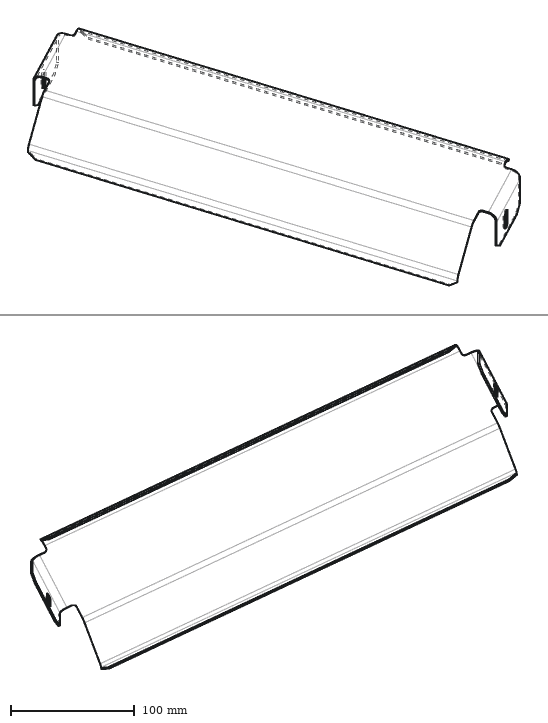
import cadquery as cq
import math

length = 404.0
width = 112.0
height = 45.0

thickness = 1.5
bend_radius = 7.5
slope_angle = 45.0

body_inset = 15.0
rear_flange_height = 12.5
slope_start = 36.0

tab_width = 50.0
tab_rear_inset = 13.5
notch_radius = 3.0
corner_chamfer = 7.0

slot_width = 7.0
slot_length = 19.8
slot_depth = 26.5
slot_offset = 5.0

body_length = length - 2 * body_inset
tab_center = width / 2 - tab_rear_inset - tab_width / 2
slope = math.radians(slope_angle)
bend_run = bend_radius * math.sin(slope)
bend_drop = bend_radius * (1 - math.cos(slope))
slope_run = slope_start - bend_run - bend_drop
slope_length = slope_run / math.cos(slope)
slope_drop = slope_run * math.tan(slope)
front_flange_length = height - bend_drop - slope_drop - bend_run


def bent_strip(plane, start, heading, flats, turns):
    """Sketch a strip on its outer side, bending clockwise by each turn between the flats."""
    outer, inner = [], []
    x, y = start
    angle = math.radians(heading)

    def record(at_x, at_y, at_angle):
        outer.append((at_x, at_y))
        inner.append((at_x + thickness * math.sin(at_angle), at_y - thickness * math.cos(at_angle)))

    record(x, y, angle)
    for flat, turn in zip(flats, turns + [0]):
        x += flat * math.cos(angle)
        y += flat * math.sin(angle)
        record(x, y, angle)
        if turn:
            center_x = x + bend_radius * math.sin(angle)
            center_y = y - bend_radius * math.cos(angle)
            for _ in range(2):
                angle -= math.radians(turn / 2)
                x = center_x - bend_radius * math.sin(angle)
                y = center_y + bend_radius * math.cos(angle)
                record(x, y, angle)

    def trace(sketch, points):
        sketch = sketch.lineTo(*points[1])
        for i in range(2, len(points), 3):
            sketch = sketch.threePointArc(points[i], points[i + 1]).lineTo(*points[i + 2])
        return sketch

    sketch = trace(cq.Workplane(plane).moveTo(*outer[0]), outer)
    return trace(sketch.lineTo(*inner[-1]), inner[::-1]).close()


def make_body():
    flats = [
        rear_flange_height - bend_radius,
        width - bend_radius - slope_start,
        slope_length,
        front_flange_length,
    ]
    plane = cq.Plane((0, 0, 0), xDir=(0, -1, 0), normal=(-1, 0, 0))
    start = (-width / 2, height - rear_flange_height)
    profile = bent_strip(plane, start, 90, flats, [90, slope_angle, 90 - slope_angle])
    return profile.extrude(body_length / 2, both=True)


def chamfer_body_corners(body):
    """Chamfer the free lower corners of the front and rear flanges."""
    bottoms = ((-width / 2, 0), (width / 2, height - rear_flange_height))
    for face_y, bottom in bottoms:
        zone = (
            cq.Workplane("XY")
            .box(body_length, 2 * bend_radius, height, centered=(True, True, False))
            .translate((0, face_y, bottom))
        )
        chamfered = zone.edges("|Y and <Z").chamfer(corner_chamfer)
        body = body.cut(zone.cut(chamfered))
    return body


def make_tabs():
    """Make the strip that crosses the body and folds down at both ends."""
    flats = [height - bend_radius, length - 2 * bend_radius, height - bend_radius]
    strip = bent_strip("XZ", (-length / 2, 0), 90, flats, [90, 90])
    strip = strip.extrude(tab_width / 2, both=True)
    outline = (
        cq.Workplane("YZ")
        .rect(tab_width, 2 * height)
        .extrude(length, both=True)
        .edges("|X")
        .chamfer(corner_chamfer)
        .translate((0, 0, height))
    )
    slot = (
        cq.Workplane("YZ")
        .center(-slot_offset, height - slot_depth)
        .slot2D(slot_length, slot_width, 90)
        .extrude(length, both=True)
    )
    return strip.intersect(outline).cut(slot).translate((0, tab_center, 0))


def round_notches(part):
    """Round the inside corners where the tabs leave the body."""
    for x in (-body_length / 2, body_length / 2):
        for y in (tab_center - tab_width / 2, tab_center + tab_width / 2):
            corner = cq.selectors.NearestToPointSelector((x, y, height - thickness / 2))
            part = part.edges("|Z").edges(corner).fillet(notch_radius)
    return part


body = chamfer_body_corners(make_body())
result = round_notches(body.union(make_tabs()))